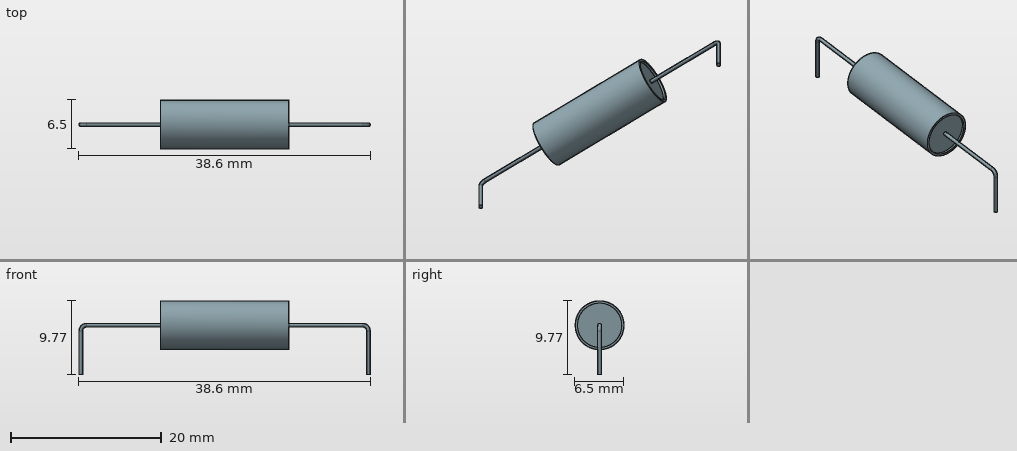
import cadquery as cq

overall_length = 38.6
lead_diameter = 0.5
body_diameter = 6.5
body_length = 17.02
recess_diameter = 5.85
recess_depth = 0.3
lead_drop = 6.52
bend_radius = 0.75

lead_reach = (overall_length - lead_diameter) / 2
bend_start = lead_reach - bend_radius


def x_cylinder(diameter, length, center_x=0):
    """Cylinder along the X axis, centred at center_x."""
    start = center_x - length / 2
    return cq.Workplane("YZ", origin=(start, 0, 0)).circle(diameter / 2).extrude(length)


def make_body():
    """Cylindrical body with a shallow recess in each end and a bore for the wire."""
    body = x_cylinder(body_diameter, body_length)
    for side in (-1, 1):
        recess_center = side * (body_length - recess_depth) / 2
        body = body.cut(x_cylinder(recess_diameter, recess_depth, recess_center))
    return body.cut(x_cylinder(lead_diameter, body_length))


def make_wire():
    """One round wire running through the body, bent down at both ends."""
    path = (
        cq.Workplane("XZ")
        .moveTo(-lead_reach, -lead_drop)
        .lineTo(-lead_reach, -bend_radius)
        .tangentArcPoint((-bend_start, 0), relative=False)
        .lineTo(bend_start, 0)
        .tangentArcPoint((lead_reach, -bend_radius), relative=False)
        .lineTo(lead_reach, -lead_drop)
    )
    tip = cq.Workplane("XY", origin=(-lead_reach, 0, -lead_drop))
    return tip.circle(lead_diameter / 2).sweep(path)


body = make_body()
wire = make_wire()

result = cq.Compound.makeCompound([body.val(), wire.val()])